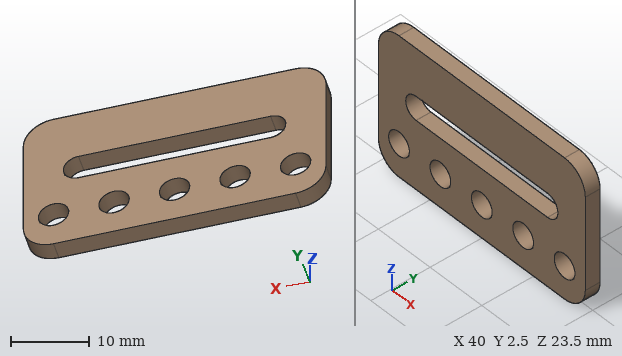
import cadquery as cq

length = 40.0
thickness = 2.5
height = 23.5
corner_radius = 4.0

hole_count = 5
hole_diameter = 4.0
hole_pitch = 8.0
hole_row_above_bottom = 5.5
hole_row_z = hole_row_above_bottom - height / 2

slot_length = 29.4
slot_width = hole_diameter
slot_z = hole_row_z + hole_pitch

plate = cq.Workplane("XY").box(length, thickness, height).edges("|Y").fillet(corner_radius)

holes = (
    cq.Workplane("XZ", origin=(0, thickness / 2, 0))
    .center(0, hole_row_z)
    .rarray(hole_pitch, 0.4, hole_count, 1)
    .circle(hole_diameter / 2)
    .extrude(thickness)
)

slot = (
    cq.Workplane("XZ", origin=(0, thickness / 2, 0))
    .center(0, slot_z)
    .slot2D(slot_length, slot_width)
    .extrude(thickness)
)

result = plate.cut(holes).cut(slot)